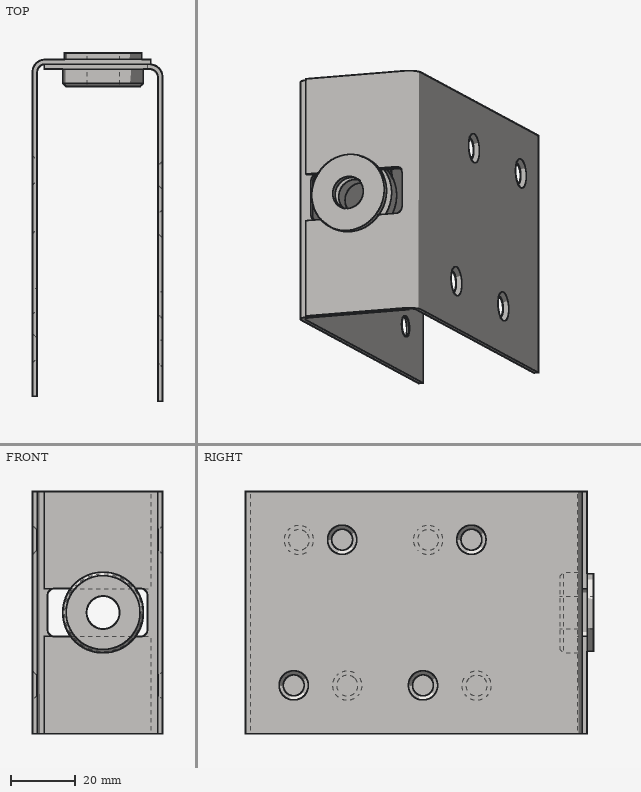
import cadquery as cq
import math

total_width = 40.3
total_depth = 107.7
height = 75.0

sheet = 1.5
bend_radius = 4.0
flange_width = 36.6
rear_disc_thickness = 2.0
side_length = total_depth - rear_disc_thickness - sheet

slot_width = 14.8
slot_end_offset = 4.7
slot_corner_radius = 2.0

screw_diameter = 6.5
countersink_diameter = 9.0
countersink_angle = 90.0
screw_pitch = 40.0
screw_margin = 15.0
row_stagger = 15.0
row_offset = 22.5

disc_x = 1.7
rear_disc_diameter = 24.0
front_disc_diameter = 25.0
front_disc_thickness = 5.4
front_disc_chamfer = 1.1
bore_diameter = 10.1

outer_x = -total_width / 2


def make_sheet_profile():
    """L-shaped sheet with a rounded bend, extruded over the full height."""
    free_x = outer_x + flange_width
    inner_radius = bend_radius - sheet
    bend_x = outer_x + bend_radius
    bend_y = -bend_radius
    diagonal = math.sqrt(0.5)
    return (
        cq.Workplane("XY")
        .workplane(offset=-height / 2)
        .moveTo(outer_x, -side_length)
        .lineTo(outer_x, bend_y)
        .threePointArc((bend_x - bend_radius * diagonal, bend_y + bend_radius * diagonal), (bend_x, 0))
        .lineTo(free_x, 0)
        .lineTo(free_x, -sheet)
        .lineTo(bend_x, -sheet)
        .threePointArc(
            (bend_x - inner_radius * diagonal, bend_y + inner_radius * diagonal),
            (outer_x + sheet, bend_y),
        )
        .lineTo(outer_x + sheet, -side_length)
        .close()
        .extrude(height)
    )


def make_slot_cutter():
    """Flange slot with rounded corners at its closed end; it runs out past the free edge."""
    slot_length = flange_width
    return (
        cq.Workplane("XY")
        .box(slot_length, 2 * sheet, slot_width, centered=(False, True, True))
        .edges("|Y and <X")
        .fillet(slot_corner_radius)
        .translate((outer_x + slot_end_offset, -sheet / 2, 0))
    )


def screw_positions():
    """(Y, Z) of the screw holes: the lower row is shifted towards the bend."""
    positions = []
    for row_z, row_shift in ((row_offset, 0), (-row_offset, row_stagger)):
        for index in range(2):
            y = -side_length + screw_margin + row_shift + index * screw_pitch
            positions.append((y, row_z))
    return positions


def make_bracket():
    """Bracket with its side at -X, screw heads on the outside."""
    bracket = make_sheet_profile().cut(make_slot_cutter())
    side_plane = cq.Plane(origin=(outer_x, 0, 0), xDir=(0, -1, 0), normal=(-1, 0, 0))
    return (
        bracket.copyWorkplane(cq.Workplane(side_plane))
        .pushPoints([(-y, z) for y, z in screw_positions()])
        .cskHole(screw_diameter, countersink_diameter, countersink_angle, depth=2 * sheet)
    )


def make_disc(diameter, thickness, front_y):
    """Bored disc with its axis along Y, reaching from front_y towards +Y."""
    return (
        cq.Workplane("XZ", origin=(disc_x, front_y, 0))
        .circle(diameter / 2)
        .circle(bore_diameter / 2)
        .extrude(-thickness)
    )


rear_bracket = make_bracket()
front_bracket = make_bracket().rotate((0, 0, 0), (0, 1, 0), 180).translate((0, -sheet, 0))

rear_disc = make_disc(rear_disc_diameter, rear_disc_thickness, 0)
front_disc = (
    make_disc(front_disc_diameter, front_disc_thickness, -2 * sheet - front_disc_thickness)
    .faces("<Y")
    .edges(cq.selectors.RadiusNthSelector(-1))
    .chamfer(front_disc_chamfer)
)

result = cq.Compound.makeCompound(
    [body.solids().val() for body in (rear_bracket, front_bracket, rear_disc, front_disc)]
)